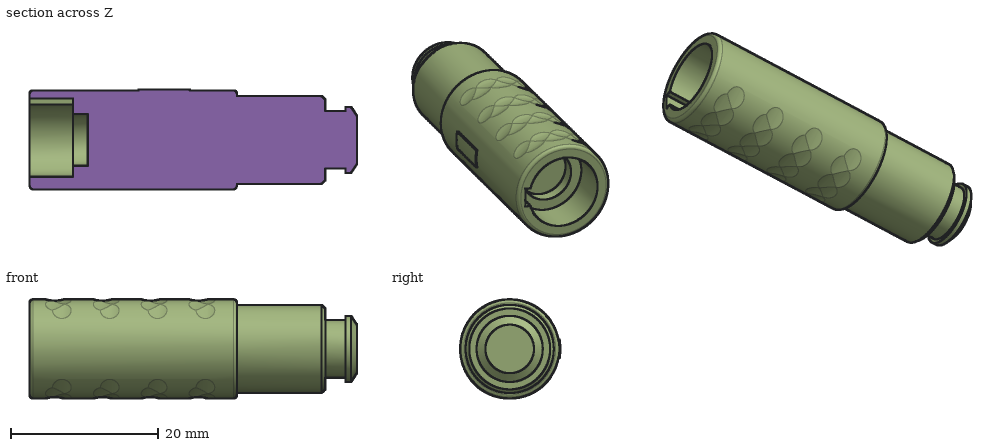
import cadquery as cq

grip_radius = 6.75
grip_length = 28.2
grip_edge_radius = 0.5

body_radius = 6.0
body_end = 40.2
body_chamfer = 0.5
neck_radius = 3.95
flange_start = 42.9
flange_radius = 4.5
flange_chamfer_length = 0.8
flange_chamfer_depth = 1.2
total_length = 44.5

socket_radius = 5.0
socket_depth = 5.9
inner_hole_radius = 3.5
inner_hole_depth = 2.0
keyway_width = 2.6
keyway_reach = 5.6

dimple_cut_radius = 4.6
dimple_depth = 0.18
dimple_cut_width = 6.0
dimple_pitch_angle = 26.0
dimple_group_count = 4
dimple_group_pitch = 6.5
short_column_x = 3.45
column_spacing = 0.95
long_column_angles = [step * dimple_pitch_angle for step in (-1.5, -0.5, 0.5, 1.5)]
short_column_angles = [step * dimple_pitch_angle for step in (-1, 0, 1)]

pad_start = 14.8
pad_length = 7.0
pad_width = 2.5
pad_height = 0.15
pad_root_y = 6.0


def cylinder_along_x(start, length, radius):
    return cq.Workplane("YZ", origin=(start, 0, 0)).circle(radius).extrude(length)


def make_outer_shape():
    grip = cylinder_along_x(0, grip_length, grip_radius)
    grip = grip.edges("%CIRCLE").fillet(grip_edge_radius)
    body = cylinder_along_x(grip_length, body_end - grip_length, body_radius)
    body = body.faces(">X").edges().chamfer(body_chamfer)
    neck = cylinder_along_x(body_end, flange_start - body_end, neck_radius)
    flange = cylinder_along_x(flange_start, total_length - flange_start, flange_radius)
    flange = flange.faces(">X").edges().chamfer(flange_chamfer_length, flange_chamfer_depth)
    return grip.union(body).union(neck).union(flange)


def make_label_pad():
    outer_radius = grip_radius + pad_height
    block = cq.Workplane("XY", origin=(pad_start, pad_root_y, 0)).box(
        pad_length, outer_radius - pad_root_y, pad_width, centered=(False, False, True)
    )
    return block.intersect(cylinder_along_x(pad_start, pad_length, outer_radius))


def make_socket():
    bore = cylinder_along_x(0, socket_depth, socket_radius)
    inner_hole = cylinder_along_x(socket_depth, inner_hole_depth, inner_hole_radius)
    keyway = cq.Workplane("XY").box(
        socket_depth, keyway_reach, keyway_width, centered=(False, False, True)
    )
    return bore.union(inner_hole).union(keyway)


def make_dimple_cutter(x, angle):
    axis_height = grip_radius - dimple_depth + dimple_cut_radius
    cutter = (
        cq.Workplane("XZ", origin=(x, dimple_cut_width / 2, axis_height))
        .circle(dimple_cut_radius)
        .extrude(dimple_cut_width)
    )
    return cutter.rotate((0, 0, 0), (1, 0, 0), angle)


def cut_dimples(part):
    for side_angle in (0, 180):
        for group in range(dimple_group_count):
            short_x = short_column_x + group * dimple_group_pitch
            long_x = short_x + column_spacing
            for angle in short_column_angles:
                part = part.cut(make_dimple_cutter(short_x, side_angle + angle))
            for angle in long_column_angles:
                part = part.cut(make_dimple_cutter(long_x, side_angle + angle))
    return part


result = make_outer_shape().cut(make_socket())
result = cut_dimples(result).union(make_label_pad())